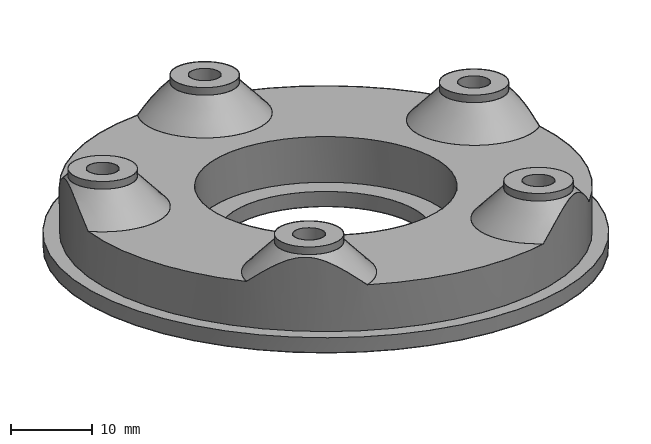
import cadquery as cq

flange_diameter = 69.0
flange_height = 2.0
ring_diameter = 65.0
ring_top = 8.0

opening_diameter = 26.0
counterbore_diameter = 32.0
counterbore_floor = flange_height

boss_count = 5
boss_circle_radius = 28.0
boss_first_angle = 90.0
boss_top = 13.0
cap_diameter = 8.48
cap_height = 1.0
cap_bottom = boss_top - cap_height
cone_height = cap_bottom - ring_top
cone_base_diameter = cap_diameter + 2 * cone_height

hole_diameter = 4.0


def cylinder(diameter, bottom, top):
    """Upright cylinder on the Z axis between two heights."""
    return cq.Workplane("XY").workplane(offset=bottom).circle(diameter / 2).extrude(top - bottom)


def at_boss(shape, index):
    """Move a shape from the Z axis to the given boss."""
    angle = boss_first_angle + index * 360.0 / boss_count
    return shape.translate((boss_circle_radius, 0, 0)).rotate((0, 0, 0), (0, 0, 1), angle)


def make_base():
    """Flange and ring, before the opening is cut."""
    flange = cylinder(flange_diameter, 0, flange_height)
    return flange.union(cylinder(ring_diameter, 0, ring_top))


def make_boss():
    """Cone with its cap, standing on the ring top at the Z axis."""
    return (
        cq.Workplane("XZ")
        .moveTo(0, ring_top)
        .lineTo(cone_base_diameter / 2, ring_top)
        .lineTo(cap_diameter / 2, cap_bottom)
        .lineTo(cap_diameter / 2, boss_top)
        .lineTo(0, boss_top)
        .close()
        .revolve(360, (0, 0, 0), (0, 1, 0))
    )


def cut_opening(body):
    """Round opening with a wider counterbore from above."""
    body = body.cut(cylinder(opening_diameter, 0, ring_top))
    return body.cut(cylinder(counterbore_diameter, counterbore_floor, ring_top))


def add_bosses(body):
    """Stand the bosses on the ring; the ring wall trims the outward flank of each cone."""
    ring_envelope = cylinder(ring_diameter, 0, boss_top)
    for index in range(boss_count):
        body = body.union(at_boss(make_boss(), index).intersect(ring_envelope))
    return body


def cut_boss_holes(body):
    """Through hole on the axis of each boss."""
    for index in range(boss_count):
        body = body.cut(at_boss(cylinder(hole_diameter, 0, boss_top), index))
    return body


result = cut_boss_holes(add_bosses(cut_opening(make_base())))